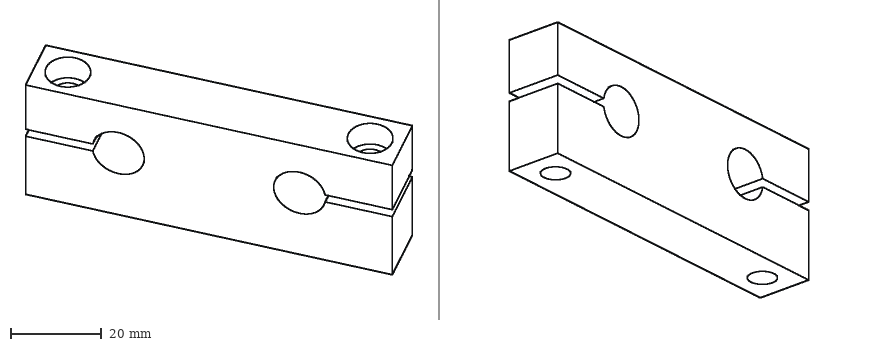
import cadquery as cq

length = 85.0
depth = 14.0
height = 32.0

bore_diameter = 12.0
bore_spacing = 42.0
bore_height = 18.0
slot_width = 2.0

screw_spacing = 70.0
screw_diameter = 6.6
counterbore_diameter = 10.0
counterbore_depth = 6.0

slot_length = (length - bore_spacing) / 2


def clamp_bore(side):
    """Rod bore and its slot; side is -1 for the -X end, +1 for the +X end."""
    bore_x = side * bore_spacing / 2
    slot_x = side * (length - slot_length) / 2
    bore = (
        cq.Workplane("XZ")
        .center(bore_x, bore_height)
        .circle(bore_diameter / 2)
        .extrude(depth / 2, both=True)
    )
    slot = cq.Workplane("XY").box(slot_length, depth, slot_width).translate((slot_x, 0, bore_height))
    return bore.union(slot)


block = cq.Workplane("XY").box(length, depth, height, centered=(True, True, False))

result = (
    block.faces(">Z")
    .workplane()
    .pushPoints([(-screw_spacing / 2, 0), (screw_spacing / 2, 0)])
    .cboreHole(screw_diameter, counterbore_diameter, counterbore_depth)
)

for end_side in (-1, 1):
    result = result.cut(clamp_bore(end_side))